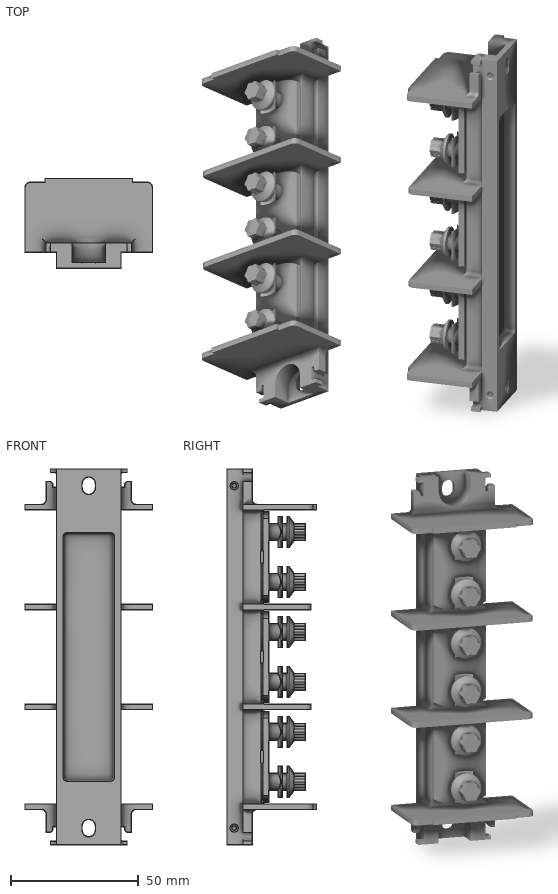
import cadquery as cq
import math

rail_length = 147.2
rail_reach = 12.65
rail_depth = 6.3
rail_end = rail_length / 2

recess_reach = 10.0
recess_end = 48.7
recess_depth = 4.3
recess_corner = 1.5
recess_draft = 7.0
recess_floor_fillet = 0.85

plate_count = 4
plate_pitch = 39.1
plate_thickness = 2.2
plate_reach = 25.0
plate_back = 33.0
plate_corner = 2.3
end_plate_back = 33.8
end_plate_tongue_reach = 17.2
end_plate_tongue_back = 35.2
outer_plate_z = plate_pitch * (plate_count - 1) / 2
plate_heights = [i * plate_pitch - outer_plate_z for i in range(plate_count)]
outer_plate_face = outer_plate_z + plate_thickness / 2
root_fillet = 1.8
pick_margin = 0.01

core_reach = 10.7
core_back = 13.3
pad_radius = 7.4
pad_back = 14.2

mount_back = 10.0
lip_reach = 15.0
lip_thickness = 1.5
lip_fillet = 0.6
post_reach = 16.7
post_end = 68.7
notch_reach = 14.0
notch_floor = 66.5
notch_chamfer = 0.9
pocket_reach = 6.6
pocket_front = 2.3
pocket_bottom = 61.7
mount_hole_z = 67.0
mount_hole_width = 5.1
mount_hole_length = 6.7
dimple_y = 2.9
dimple_radius = 1.6
dimple_floor_radius = 0.9
dimple_depth = 0.7

bay_count = plate_count - 1
bay_heights = [i * plate_pitch - plate_pitch * (bay_count - 1) / 2 for i in range(bay_count)]
busbar_length = 35.6
busbar_end_bulge = 2.7
busbar_back = 16.5

screw_spacing = plate_pitch / 2
screw_heights = [bay + side * screw_spacing / 2 for bay in bay_heights for side in (-1, 1)]
shank_radius = 3.4
washer_length = 12.2
washer_reach = 3.7
washer_front = 20.0
washer_rise = 1.2
washer_thickness = 0.6
flange_radius = 6.1
flange_front = 23.6
flange_back = 24.4
cone_back = 26.3
cone_small_radius = 3.5
head_back = 30.8
head_across_flats = 6.7
head_sides = 6
head_groove_depth = 0.15


def span_box(x0, x1, y0, y1, z0, z1):
    """Box given by its limits along X, Y and Z."""
    return cq.Workplane("XY").box(x1 - x0, y1 - y0, z1 - z0, centered=False).translate((x0, y0, z0))


def centred_box(reach, y0, y1, z0, z1):
    """Box that is symmetric about the X = 0 plane."""
    return span_box(-reach, reach, y0, y1, z0, z1)


def y_cylinder(radius, y0, y1, z):
    """Cylinder along Y, centred on X = 0 at height z."""
    return cq.Workplane("XZ", origin=(0, y0, z)).circle(radius).extrude(y0 - y1)


def make_core():
    """Barrier plates on the central core, with fillets where core and plates meet."""
    core = centred_box(core_reach, rail_depth, core_back, -outer_plate_z, outer_plate_z)
    for z in plate_heights:
        core = core.union(make_plate(z))
    for bay in bay_heights:
        half_gap = (plate_pitch - plate_thickness) / 2
        for face_z in (bay - half_gap, bay + half_gap):
            core = fillet_root(core, core_reach, core_back, face_z)
    return core


def make_plate(z):
    """One barrier plate; the two outer plates reach further back and carry a tongue."""
    is_end = abs(z) == outer_plate_z
    back = end_plate_back if is_end else plate_back
    low = z - plate_thickness / 2
    high = z + plate_thickness / 2
    plate = centred_box(plate_reach, rail_depth, back, low, high)
    plate = plate.edges("|Z and >Y").fillet(plate_corner)
    if is_end:
        tongue = centred_box(end_plate_tongue_reach, rail_depth, end_plate_tongue_back, low, high)
        plate = plate.union(tongue)
    return plate


def fillet_root(body, reach, back, z):
    """Fillet the sides and back of a block of the given reach where it meets a plate at height z."""
    around = cq.selectors.BoxSelector(
        (-reach - pick_margin, rail_depth + pick_margin, z - pick_margin),
        (reach + pick_margin, back + pick_margin, z + pick_margin),
    )
    return body.edges(around).fillet(root_fillet)


def make_upper_mount():
    """Block above the top plate with a snap lip and a notched post on each side."""
    mount = centred_box(rail_reach, rail_depth, mount_back, outer_plate_face, rail_end)
    for side in (-1, 1):
        mount = mount.union(make_post(side))
        mount = mount.union(make_lip(side))
    return mount


def make_post(side):
    """Side post whose top is notched next to the rail."""
    outline = [
        (0, outer_plate_face),
        (post_reach, outer_plate_face),
        (post_reach, post_end),
        (notch_reach + notch_chamfer, post_end),
        (notch_reach, post_end - notch_chamfer),
        (notch_reach, notch_floor),
        (0, notch_floor),
    ]
    points = [(side * x, z) for x, z in outline]
    post = cq.Workplane("XZ", origin=(0, rail_depth, 0)).polyline(points).close()
    return post.extrude(rail_depth - mount_back)


def make_lip(side):
    """Snap lip at the end of the mount, with a small fillet under it."""
    lip_underside = rail_end - lip_thickness
    lip = (
        cq.Workplane("XZ", origin=(0, rail_depth, 0))
        .moveTo(0, rail_end)
        .lineTo(side * lip_reach, rail_end)
        .lineTo(side * lip_reach, lip_underside)
        .lineTo(side * (rail_reach + lip_fillet), lip_underside)
        .radiusArc((side * rail_reach, lip_underside - lip_fillet), -side * lip_fillet)
        .lineTo(0, lip_underside - lip_fillet)
        .close()
    )
    return lip.extrude(rail_depth - mount_back)


def make_recess():
    """Drafted, round-cornered pocket in the front of the rail, with a filleted floor."""
    mouth = cq.Workplane("XZ").rect(2 * recess_reach, 2 * recess_end)
    return (
        mouth.extrude(-recess_depth, taper=recess_draft)
        .edges("not(<Y or >Y)")
        .fillet(recess_corner)
        .faces(">Y")
        .edges()
        .fillet(recess_floor_fillet)
    )


def make_upper_mount_cuts():
    """Round-bottomed pocket open at the end, mounting slot through the rail, dimples in the sides."""
    pocket_centre = pocket_bottom + pocket_reach
    cuts = y_cylinder(pocket_reach, pocket_front, mount_back, pocket_centre)
    cuts = cuts.union(centred_box(pocket_reach, pocket_front, mount_back, pocket_centre, rail_end))
    slot = (
        cq.Workplane("XZ", origin=(0, 0, mount_hole_z))
        .slot2D(mount_hole_length, mount_hole_width, 90)
        .extrude(-rail_depth)
    )
    cuts = cuts.union(slot)
    for side in (-1, 1):
        dimple = cq.Solid.makeCone(
            dimple_radius,
            dimple_floor_radius,
            dimple_depth,
            pnt=cq.Vector(side * rail_reach, dimple_y, mount_hole_z),
            dir=cq.Vector(-side, 0, 0),
        )
        cuts = cuts.union(cq.Workplane(dimple))
    return cuts


def make_housing():
    """Rail, core, plates and both mounting ends as one moulded body."""
    mount = make_upper_mount()
    cuts = make_upper_mount_cuts()
    body = make_core().union(mount).union(mount.mirror("XY"))
    for face_z in (-outer_plate_face, outer_plate_face):
        body = fillet_root(body, post_reach, mount_back, face_z)
    body = body.union(centred_box(rail_reach, 0, rail_depth, -rail_end, rail_end))
    for z in screw_heights:
        body = body.union(y_cylinder(pad_radius, rail_depth, pad_back, z))
    return body.cut(make_recess()).cut(cuts).cut(cuts.mirror("XY"))


def make_busbar(z):
    """Flat bar with gently arched ends, lying on the two pads of one bay."""
    tip = busbar_length / 2
    side_end = tip - busbar_end_bulge
    return (
        cq.Workplane("XZ", origin=(0, pad_back, z))
        .moveTo(-core_reach, -side_end)
        .threePointArc((0, -tip), (core_reach, -side_end))
        .lineTo(core_reach, side_end)
        .threePointArc((0, tip), (-core_reach, side_end))
        .close()
        .extrude(pad_back - busbar_back)
    )


def make_screw(z):
    """Terminal screw with its clamp washer, standing on a busbar."""
    turned = (
        cq.Workplane("XY")
        .moveTo(0, busbar_back)
        .lineTo(shank_radius, busbar_back)
        .lineTo(shank_radius, flange_front)
        .lineTo(flange_radius, flange_front)
        .lineTo(flange_radius, flange_back)
        .lineTo(cone_small_radius, cone_back)
        .lineTo(0, cone_back)
        .close()
        .revolve(360, (0, 0, 0), (0, 1, 0))
    )
    return turned.union(make_head()).union(make_washer()).translate((0, 0, z))


def make_head():
    """Hexagonal head with flats facing up and down and a shallow groove along each flat."""
    across_corners = head_across_flats / math.cos(math.pi / head_sides)
    half_flats = head_across_flats / 2
    flat_width = head_across_flats * math.tan(math.pi / head_sides)
    groove_reach = flat_width / 3 / 2
    hexagon = cq.Workplane("XZ", origin=(0, flange_back, 0)).polygon(head_sides, across_corners)
    head = hexagon.extrude(flange_back - head_back)
    groove = centred_box(groove_reach, cone_back, head_back, half_flats - head_groove_depth, half_flats)
    for i in range(head_sides):
        head = head.cut(groove.rotate((0, 0, 0), (0, 1, 0), 360 / head_sides * i))
    return head


def make_washer():
    """Clamp washer, long in Z and bowed about Z so that its two X sides rise away from the busbar."""
    rim = washer_front + washer_rise
    top = washer_front + washer_thickness
    return (
        cq.Workplane("XY", origin=(0, 0, -washer_length / 2))
        .moveTo(-washer_reach, rim)
        .threePointArc((0, washer_front), (washer_reach, rim))
        .lineTo(washer_reach, rim + washer_thickness)
        .threePointArc((0, top), (-washer_reach, rim + washer_thickness))
        .close()
        .extrude(washer_length)
    )


housing = make_housing()
busbars = [make_busbar(z) for z in bay_heights]
screws = [make_screw(z) for z in screw_heights]

result = cq.Compound.makeCompound(
    [housing.val()] + [busbar.val() for busbar in busbars] + [screw.val() for screw in screws]
)